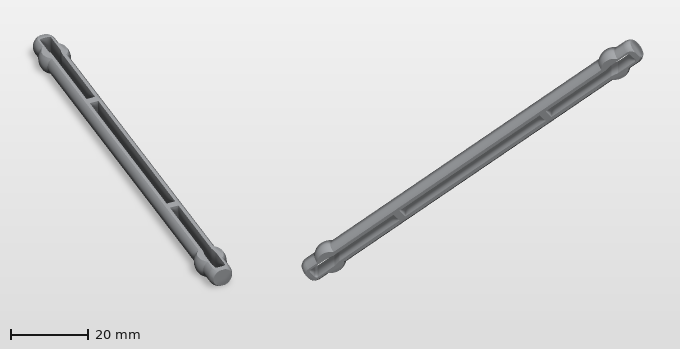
import cadquery as cq
import math

length = 112.5
thickness = 5.0
rod_radius = 3.25
half_length = length / 2

end_round_length = 1.75
end_face_radius = 2.6

ball_radius = 8.54 / 2
ball_center_x = 48.6

slot_width = 2.4
end_slot_width = 3.1
end_wall = 1.5
slot_corner_radius = 0.6
taper_start_x = 46.6
taper_end_x = 48.5
slot_end_x = half_length - end_wall

bar_width = 2.0
bar_center_x = 25.0


def make_rod():
    """Revolved bar whose end rounds run tangentially into the cylinder."""
    drop = rod_radius - end_face_radius
    round_radius = (end_round_length**2 + drop**2) / (2 * drop)
    half_sweep = math.asin(end_round_length / round_radius) / 2
    straight_x = half_length - end_round_length
    mid_x = straight_x + round_radius * math.sin(half_sweep)
    mid_r = rod_radius - round_radius * (1 - math.cos(half_sweep))
    return (
        cq.Workplane("XY")
        .moveTo(-half_length, 0)
        .lineTo(-half_length, end_face_radius)
        .threePointArc((-mid_x, mid_r), (-straight_x, rod_radius))
        .lineTo(straight_x, rod_radius)
        .threePointArc((mid_x, mid_r), (half_length, end_face_radius))
        .lineTo(half_length, 0)
        .close()
        .revolve(360, (0, 0, 0), (1, 0, 0))
    )


def add_balls(body):
    for side in (-1, 1):
        ball = cq.Workplane("XY").sphere(ball_radius).translate((side * ball_center_x, 0, 0))
        body = body.union(ball)
    return body


def flatten(body):
    """Keep only the material between the top and bottom flats."""
    slab = cq.Workplane("XY").box(length, 2 * ball_radius, thickness)
    return body.intersect(slab)


def make_slot():
    """Slot cutter, with the cross bars left out of it."""
    narrow = slot_width / 2
    wide = end_slot_width / 2
    upper_edge = [
        (-slot_end_x, wide),
        (-taper_end_x, wide),
        (-taper_start_x, narrow),
        (taper_start_x, narrow),
        (taper_end_x, wide),
        (slot_end_x, wide),
    ]
    lower_edge = [(x, -y) for x, y in reversed(upper_edge)]
    slot = (
        cq.Workplane("XY")
        .polyline(upper_edge + lower_edge)
        .close()
        .extrude(thickness / 2, both=True)
    )
    end_corners = slot.faces("<X or >X").edges("|Z")
    slot = end_corners.fillet(slot_corner_radius)
    bars = (
        cq.Workplane("XY")
        .pushPoints([(-bar_center_x, 0), (bar_center_x, 0)])
        .box(bar_width, end_slot_width, thickness)
    )
    return slot.cut(bars)


result = flatten(add_balls(make_rod())).cut(make_slot())